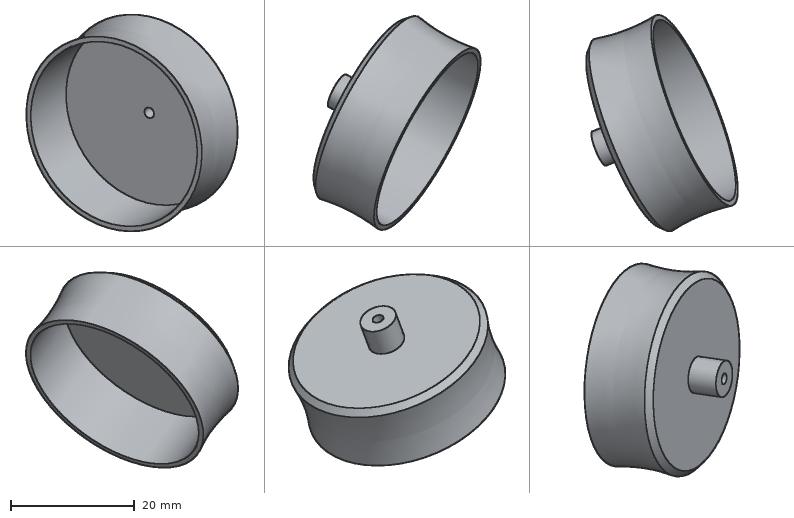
import cadquery as cq
import math

body_length = 12.0
waist_radius = 16.17
waist_position = 5.0
flank_arc_radius = 31.5
chamfer = 1.05

cavity_radius = 15.7
floor_thickness = 1.0

shaft_diameter = 6.0
shaft_length = 5.0
hole_diameter = 1.8

total_length = body_length + shaft_length
cavity_depth = body_length - floor_thickness


def flank_radius(y):
    """Outer radius of the concave wall at distance y from the open rim."""
    offset = y - waist_position
    return waist_radius + flank_arc_radius - math.sqrt(flank_arc_radius**2 - offset**2)


def y_cylinder(diameter, start, length):
    """Cylinder along +Y, beginning at Y = start."""
    plane = cq.Plane(origin=(0, start, 0), xDir=(1, 0, 0), normal=(0, 1, 0))
    return cq.Workplane(plane).circle(diameter / 2).extrude(length)


def make_body():
    """Revolve the half profile of the solid body, with its concave flank and chamfer."""
    flank_end = body_length - chamfer
    flank_middle = (waist_position + flank_end) / 2
    end_radius = flank_radius(flank_end)
    front_middle = waist_position / 2
    profile = (
        cq.Workplane("YZ")
        .lineTo(0, flank_radius(0))
        .threePointArc((front_middle, flank_radius(front_middle)), (waist_position, waist_radius))
        .threePointArc((flank_middle, flank_radius(flank_middle)), (flank_end, end_radius))
        .lineTo(body_length, end_radius - chamfer)
        .lineTo(body_length, 0)
        .close()
    )
    return profile.revolve(360, (0, 0, 0), (1, 0, 0), clean=False)


cavity = y_cylinder(2 * cavity_radius, 0, cavity_depth)
shaft = y_cylinder(shaft_diameter, body_length, shaft_length)
through_hole = y_cylinder(hole_diameter, 0, total_length)

solid_part = make_body().union(shaft, clean=False)
result = solid_part.cut(cavity, clean=False).cut(through_hole, clean=False)